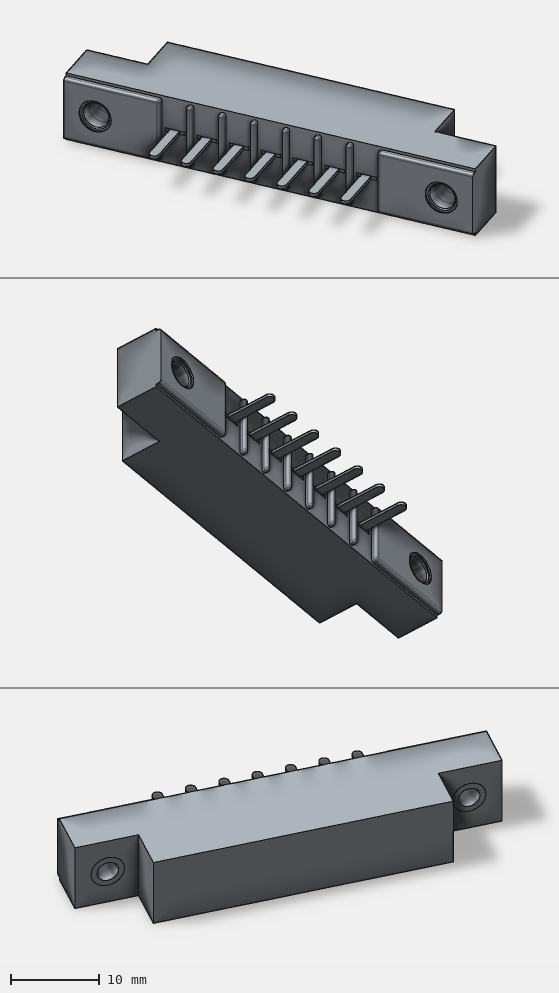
import cadquery as cq

LENGTH = 50.75
HEIGHT = 8.75
BODY_DEPTH = 10.9
EAR_DEPTH = 5.6
NOSE_LENGTH = 35.65

PAD_RISE = 0.7
EDGE_RADIUS = 0.35
RIB_WIDTH = 2 * EDGE_RADIUS
RAISED_HEIGHT = 8.0

PIN_COUNT = 7
PIN_PITCH = 3.95
PIN_WIDTH = 1.15
PIN_THICKNESS = 0.4
PIN_REACH = 6.2
SLOT_WIDTH = 2.45
SLOT_DEPTH = 1.5

BUSHING_SPACING = 42.95
BUSHING_DIAMETER = 3.95
BUSHING_MOUTH = 3.15
BUSHING_BORE = 2.55
BUSHING_MOUTH_DEPTH = 1.5
BUSHING_TAPER_DEPTH = 1.5
BUSHING_CHAMFER = 0.15
BUSHING_RECESS = 0.2

PIN_POSITIONS = [(i - (PIN_COUNT - 1) / 2) * PIN_PITCH for i in range(PIN_COUNT)]
RIB_POSITIONS = [x + PIN_PITCH / 2 for x in PIN_POSITIONS[:-1]]
BUSHING_POSITIONS = [-BUSHING_SPACING / 2, BUSHING_SPACING / 2]
PAD_INNER_EDGE = PIN_POSITIONS[-1] + PIN_PITCH / 2 - RIB_WIDTH / 2


def make_block():
    """Block with a long nose behind and a shallower mounting ear at each end."""
    ears = cq.Workplane("XY").box(LENGTH, EAR_DEPTH, HEIGHT, centered=(True, False, True))
    nose = cq.Workplane("XY").box(NOSE_LENGTH, BODY_DEPTH, HEIGHT, centered=(True, False, True))
    return ears.union(nose)


def make_right_pad():
    """Raised pad at the +X end, rounded everywhere but on its outer end."""
    pad_length = LENGTH / 2 - PAD_INNER_EDGE
    pad = cq.Workplane("XY").box(pad_length, PAD_RISE, RAISED_HEIGHT, centered=(False, False, True))
    pad = pad.translate((PAD_INNER_EDGE, -PAD_RISE, 0))
    return pad.edges("(<X and |Y) or (<Y and |X) or (<Y and <X)").fillet(EDGE_RADIUS)


def make_rib(x):
    """Upright rib with a fully rounded crest and ball-shaped ends."""
    crest_y = EDGE_RADIUS - PAD_RISE
    straight_height = RAISED_HEIGHT - RIB_WIDTH
    foot = cq.Workplane("XZ").slot2D(RAISED_HEIGHT, RIB_WIDTH, 90).extrude(-crest_y)
    crest = cq.Workplane("XY").circle(EDGE_RADIUS).extrude(straight_height / 2, both=True)
    rib = foot.union(crest.translate((0, crest_y, 0)))
    for end_z in (-straight_height / 2, straight_height / 2):
        rib = rib.union(cq.Workplane("XY").sphere(EDGE_RADIUS).translate((0, crest_y, end_z)))
    return rib.translate((x, 0, 0))


def make_pin(x):
    """Flat pin with a round tip and a wide root that fills its slot in the housing."""
    tip_radius = PIN_WIDTH / 2
    shoulder_y = tip_radius - PIN_REACH
    pin = (
        cq.Workplane("XY")
        .moveTo(-SLOT_WIDTH / 2, SLOT_DEPTH)
        .lineTo(-SLOT_WIDTH / 2, 0)
        .lineTo(-tip_radius, 0)
        .lineTo(-tip_radius, shoulder_y)
        .threePointArc((0, -PIN_REACH), (tip_radius, shoulder_y))
        .lineTo(tip_radius, 0)
        .lineTo(SLOT_WIDTH / 2, 0)
        .lineTo(SLOT_WIDTH / 2, SLOT_DEPTH)
        .close()
        .extrude(PIN_THICKNESS / 2, both=True)
    )
    return pin.translate((x, 0, 0))


def make_slot(x):
    """Cutter for the recess that holds the root of one pin."""
    slot = cq.Workplane("XY").box(SLOT_WIDTH, SLOT_DEPTH, PIN_THICKNESS, centered=(True, False, True))
    return slot.translate((x, 0, 0))


def make_bushing_hole(x):
    """Cutter for the through hole that holds one bushing."""
    hole = cq.Workplane("XZ").circle(BUSHING_DIAMETER / 2).extrude(-(EAR_DEPTH + PAD_RISE))
    return hole.translate((x, -PAD_RISE, 0))


def make_bushing(x):
    """Sleeve whose wide, chamfered mouth tapers down to a narrower through bore."""
    front_y = BUSHING_RECESS - PAD_RISE
    mouth_end_y = front_y + BUSHING_MOUTH_DEPTH
    bore_start_y = mouth_end_y + BUSHING_TAPER_DEPTH
    outer_radius = BUSHING_DIAMETER / 2
    mouth_radius = BUSHING_MOUTH / 2
    bore_radius = BUSHING_BORE / 2
    wall = (
        cq.Workplane("XY")
        .moveTo(outer_radius, front_y)
        .lineTo(mouth_radius + BUSHING_CHAMFER, front_y)
        .lineTo(mouth_radius, front_y + BUSHING_CHAMFER)
        .lineTo(mouth_radius, mouth_end_y)
        .lineTo(bore_radius, bore_start_y)
        .lineTo(bore_radius, EAR_DEPTH)
        .lineTo(outer_radius, EAR_DEPTH)
        .close()
    )
    return wall.revolve(360, (0, 0, 0), (0, 1, 0)).translate((x, 0, 0))


def make_housing():
    right_pad = make_right_pad()
    housing = make_block().union(right_pad).union(right_pad.mirror("YZ"))
    for x in RIB_POSITIONS:
        housing = housing.union(make_rib(x))
    for x in PIN_POSITIONS:
        housing = housing.cut(make_slot(x))
    for x in BUSHING_POSITIONS:
        housing = housing.cut(make_bushing_hole(x))
    return housing


housing = make_housing()
pins = [make_pin(x) for x in PIN_POSITIONS]
bushings = [make_bushing(x) for x in BUSHING_POSITIONS]

result = cq.Compound.makeCompound(
    [housing.val(), *[pin.val() for pin in pins], *[bushing.val() for bushing in bushings]]
)